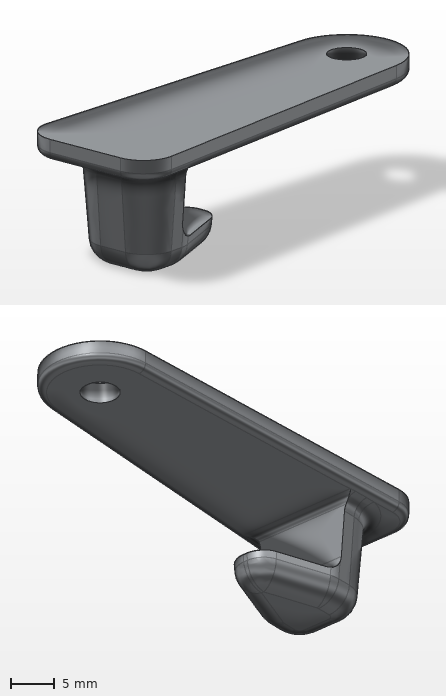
import cadquery as cq
import math

length = 52.95
width = 18.6
height = 16.0

plate_thickness = 2.6
end_radius = 7.1
corner_radius = 4.0
plate_edge_radius = 1.0
hole_diameter = 4.55

draft_angle = 4.6
hook_half_width = 6.4
hook_front = 4.0
hook_corner_radius = 4.55
hook_straight_end = 10.45
hook_tip = 21.1
hook_tip_radius = 3.7
hook_side_angle = 19.5
hook_bend_radius = 4.5
hook_bottom_radius = 3.0
root_radius = 2.0

opening_start = 10.25
opening_floor = -12.3
opening_floor_radius = 2.0
opening_roof_radius = 1.0

plate_bottom = -plate_thickness
end_center_y = length - end_radius
quarter_turn = math.pi / 2
coincident = 0.0005


def mirrored(points):
    """Mirror points about the YZ plane."""
    return [(-x, y) for x, y in points]


def on_circle(center, radius, angle):
    """Point on a circle, with the angle in radians from +X."""
    return (center[0] + radius * math.cos(angle), center[1] + radius * math.sin(angle))


def symmetric_outline(corner_arcs):
    """Plan outline symmetric about X = 0.

    Each arc is (center, radius, start angle, end angle); the arcs run up the right
    side and are joined by straight lines.
    """
    right_arcs = []
    for center, radius, start, end in corner_arcs:
        angles = (start, (start + end) / 2, end)
        right_arcs.append([on_circle(center, radius, angle) for angle in angles])
    left_arcs = [mirrored(reversed(arc)) for arc in reversed(right_arcs)]
    arcs = right_arcs + left_arcs
    outline = cq.Workplane("XY", origin=(0, 0, plate_bottom)).moveTo(*arcs[0][0])
    pen = arcs[0][0]
    for start, middle, end in arcs:
        if math.dist(pen, start) > coincident:
            outline = outline.lineTo(*start)
        outline = outline.threePointArc(middle, end)
        pen = end
    return outline.close()


def make_plate():
    """Tapered plate whose straight sides are tangent to its end arcs."""
    corner_center = (width / 2 - corner_radius, corner_radius)
    end_center = (0, end_center_y)
    run_x = end_center[0] - corner_center[0]
    run_y = end_center[1] - corner_center[1]
    center_distance = math.hypot(run_x, run_y)
    tangent_angle = math.atan2(run_y, run_x) - math.acos((corner_radius - end_radius) / center_distance)
    outline = symmetric_outline(
        [
            (corner_center, corner_radius, -quarter_turn, tangent_angle),
            (end_center, end_radius, tangent_angle, quarter_turn),
        ]
    )
    return outline.extrude(plate_thickness).faces("<Z").edges().fillet(plate_edge_radius)


def make_hook():
    """Drafted block with a narrowing arm and a rounded underside."""
    front_center = (hook_half_width - hook_corner_radius, hook_front + hook_corner_radius)
    side_angle = math.radians(hook_side_angle)
    bend_center = (hook_half_width - hook_bend_radius, hook_straight_end)
    tip_center_y = hook_tip - hook_tip_radius
    radius_change = hook_bend_radius - hook_tip_radius
    tip_center_x = (
        bend_center[0]
        + radius_change / math.cos(side_angle)
        - (tip_center_y - bend_center[1]) * math.tan(side_angle)
    )
    outline = symmetric_outline(
        [
            (front_center, hook_corner_radius, -quarter_turn, 0),
            (bend_center, hook_bend_radius, 0, side_angle),
            ((tip_center_x, tip_center_y), hook_tip_radius, side_angle, quarter_turn),
        ]
    )
    hook = outline.extrude(plate_thickness - height, taper=draft_angle)
    return hook.faces("<Z").edges().fillet(hook_bottom_radius)


def make_opening():
    """Cutter that separates the arm from the plate."""
    opening_height = plate_bottom - opening_floor
    cutter = cq.Workplane("XY").box(width, length - opening_start, opening_height, centered=(True, False, False))
    cutter = cutter.translate((0, opening_start, opening_floor))
    cutter = cutter.edges("<Y and <Z").fillet(opening_floor_radius)
    return cutter.edges("<Y and >Z").fillet(opening_roof_radius)


def round_root(body):
    """Blend the hook into the underside of the plate."""
    margin = 0.25
    region = cq.selectors.BoxSelector(
        (-hook_half_width - margin, hook_front - margin, plate_bottom - margin),
        (hook_half_width + margin, hook_tip + margin, plate_bottom + margin),
        boundingbox=True,
    )
    return body.edges(region).fillet(root_radius)


def make_hole():
    """Through hole concentric with the round end of the plate."""
    hole = cq.Workplane("XY", origin=(0, end_center_y, plate_bottom))
    return hole.circle(hole_diameter / 2).extrude(plate_thickness)


body = round_root(make_plate().union(make_hook()))
result = body.cut(make_opening()).cut(make_hole())